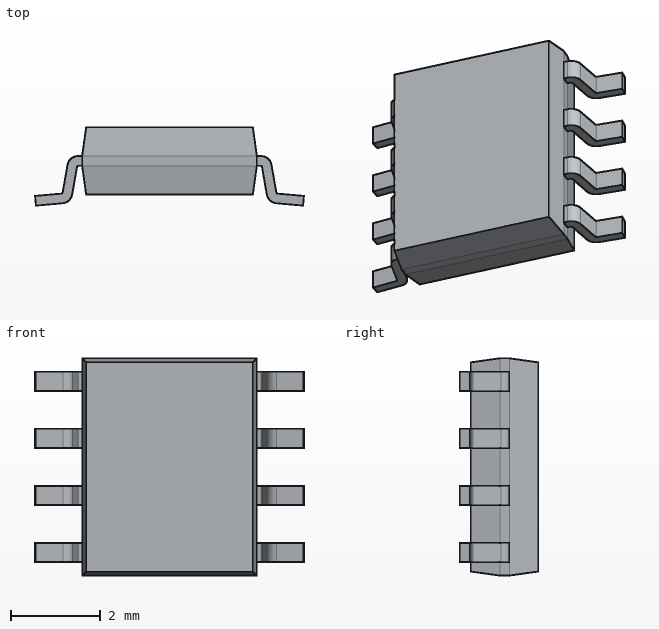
import cadquery as cq
import math

BODY_WIDTH = 3.9
BODY_HEIGHT = 4.85
BAND_THICKNESS = 0.22
TAPER_DEPTH = 0.64
TAPER_INSET = 0.09

LEADS_PER_SIDE = 4
LEAD_PITCH = 1.27
LEAD_WIDTH = 0.43
LEAD_THICKNESS = BAND_THICKNESS
LEAD_SPAN = 6.0
STANDOFF = 0.245
SHOULDER_REACH = 0.2
LEG_LEAN = math.radians(10)
FOOT_SLOPE = math.radians(5)
BEND_INNER_RADIUS = 0.02
BEND_OUTER_RADIUS = BEND_INNER_RADIUS + LEAD_THICKNESS

BODY_BOTTOM = -(BAND_THICKNESS / 2 + TAPER_DEPTH)


def make_tapered_half():
    """Taper from the band's +Y face to the smaller outer face."""
    return (
        cq.Workplane("XZ", origin=(0, BAND_THICKNESS / 2, 0))
        .rect(BODY_WIDTH, BODY_HEIGHT)
        .workplane(offset=-TAPER_DEPTH)
        .rect(BODY_WIDTH - 2 * TAPER_INSET, BODY_HEIGHT - 2 * TAPER_INSET)
        .loft(ruled=True, combine=True)
    )


def make_body():
    """One solid: the parting band with a tapered half on each side."""
    band = cq.Workplane("XY").box(BODY_WIDTH, BAND_THICKNESS, BODY_HEIGHT)
    half = make_tapered_half()
    return band.union(half).union(half.mirror("XZ"))


def lead_centreline():
    """Root, shoulder, heel and toe of the +X lead, with sharp corners."""
    root = (BODY_WIDTH / 2, 0)
    shoulder = (root[0] + SHOULDER_REACH, 0)
    toe = (
        LEAD_SPAN / 2 - LEAD_THICKNESS / 2 * math.sin(FOOT_SLOPE),
        BODY_BOTTOM - STANDOFF + LEAD_THICKNESS / 2 * math.cos(FOOT_SLOPE),
    )
    lean = math.tan(LEG_LEAN)
    slope = math.tan(FOOT_SLOPE)
    leg_drop = (-toe[1] - (toe[0] - shoulder[0]) * slope) / (1 - lean * slope)
    heel = (shoulder[0] + leg_drop * lean, -leg_drop)
    return root, shoulder, heel, toe


def round_bends(solid, points, radius):
    """Fillet the edges along Z that pass through the given outline corners."""
    for x, y in points:
        solid = solid.edges(cq.selectors.NearestToPointSelector((x, y, 0))).fillet(radius)
    return solid


def make_lead():
    """One lead on the +X side, centred on Z = 0."""
    root, shoulder, heel, toe = lead_centreline()
    half_thickness = LEAD_THICKNESS / 2
    shoulder_turn = math.pi / 2 - LEG_LEAN
    heel_turn = shoulder_turn - FOOT_SLOPE

    root_step = (0, half_thickness)
    shoulder_step = (half_thickness * math.tan(shoulder_turn / 2), half_thickness)
    heel_miter = half_thickness / math.cos(heel_turn / 2)
    heel_direction = heel_turn / 2 + LEG_LEAN
    heel_step = (
        heel_miter * math.cos(heel_direction),
        heel_miter * math.sin(heel_direction),
    )
    toe_step = (half_thickness * math.sin(FOOT_SLOPE), half_thickness * math.cos(FOOT_SLOPE))

    corners = (root, shoulder, heel, toe)
    steps = (root_step, shoulder_step, heel_step, toe_step)
    upper = [(x + dx, y + dy) for (x, y), (dx, dy) in zip(corners, steps)]
    lower = [(x - dx, y - dy) for (x, y), (dx, dy) in zip(corners, steps)]
    strip = (
        cq.Workplane("XY")
        .polyline(upper + lower[::-1])
        .close()
        .extrude(LEAD_WIDTH / 2, both=True)
    )

    strip = round_bends(strip, (upper[1], lower[2]), BEND_OUTER_RADIUS)
    return round_bends(strip, (lower[1], upper[2]), BEND_INNER_RADIUS)


def make_leads():
    """A row of separate leads on each side of the body."""
    right_lead = make_lead()
    leads = []
    for lead in (right_lead, right_lead.mirror("YZ")):
        for index in range(LEADS_PER_SIDE):
            height = (index - (LEADS_PER_SIDE - 1) / 2) * LEAD_PITCH
            leads.append(lead.translate((0, 0, height)))
    return leads


body = make_body()
leads = make_leads()

result = cq.Compound.makeCompound([body.val(), *[lead.val() for lead in leads]])